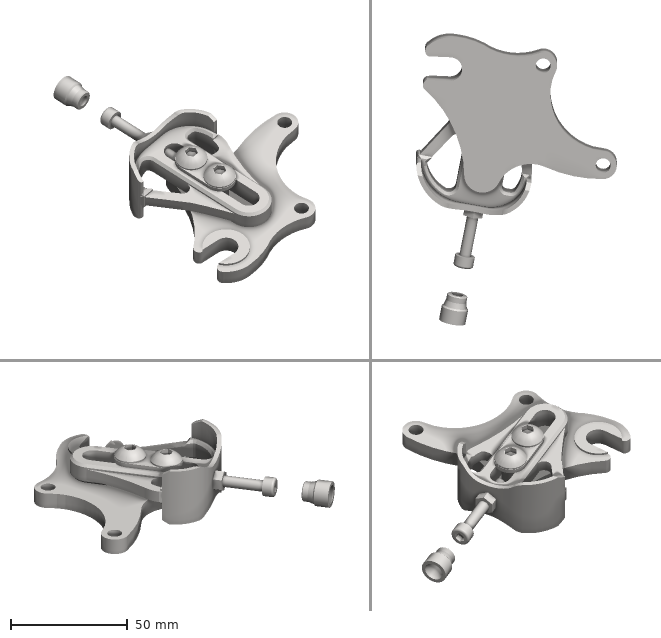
import cadquery as cq
import math


PLATE_T = 7.0
SLIDER_T = 9.0
SLIDER_TOP = PLATE_T + SLIDER_T
AXIS_Z = PLATE_T + SLIDER_T / 2
BOLT_X = (73.1, 89.1)
SHANK_D = 8.0
SCREW_D = 5.0
WASHER_T = 1.9
WASHER_W = 14.0

SLEEVE_L = 12.1
SLEEVE_D = 11.5
SLEEVE_BODY_L = 6.2
SLEEVE_STEP = 0.6
SLEEVE_TAPER_L = 3.0
SLEEVE_TIP_D = 8.8
SLEEVE_TIP_CHAMFER = 0.4
SLEEVE_BORE_D = 8.3
SCREW_HEAD_X = 24.7
SCREW_HEAD_D = 8.5
SCREW_HEAD_L = 5.0
SCREW_HEAD_ROUND = 1.0
SCREW_L = 35.0
SCREW_TIP_CHAMFER = 0.9
SCREW_HEX = 4.0
SCREW_HEX_DEPTH = 2.5
NUT_HEX = 8.0
NUT_T = 3.8

HEAD_R = 6.9
HEAD_FLAT_R = 2.8
HEAD_RIM = 0.8
HEAD_H = 4.2
HEAD_DOME_R = 7.9
BOLT_HEX = 5.0
BOLT_HEX_DEPTH = 2.5

WALL_X = 51.4
WALL_H = 27.9
WALL_T = 2.0
WALL_END_X = 69.2
WALL_END_ROUND = 1.3
WALL_END_DROP = 2.9
WALL_END_RUN = 5.1
UPPER_R = 17.4
UPPER_Y = 4.0
LOWER_R = 21.9
LOWER_Y = -7.4
VALLEY_HALF = 11.5
VALLEY_H = 8.3
VALLEY_EDGE_H = 11.7
BACK_SHOULDER = (14.9, 12.8)
FRONT_SHOULDER = (-15.9, 13.7)
TONGUE_W = 19.3
TONGUE_END_X = 115.5
TONGUE_CHAMFER = 1.1
LEDGE_W = 4.2
LEDGE_END_X = 70.6
WEB_T = 5.1
SLOT_W = 9.2
SLOT_X = (59.0, 110.3)
BACK_WINDOW_X = (61.3, 76.3)
BACK_WINDOW_ROUND = 2.3
FRONT_WINDOW_ROUND = 3.2

EAR_HOLE_D = 6.4
BOSS_R = 10.2
BOSS_H = 1.0
AXLE = (112.2, -22.3)
AXLE_SLOT_R = 5.2
AXLE_SLOT_TILT = 8
AXLE_SLOT_L = 19.1
EAR_A = (82.5, 50.1)
EAR_A_R = 5.8
EAR_B = (121.1, 16.7)
EAR_B_R = 6.0


def toward(center, radius, target):
    """Point on a circle in the direction of another point."""
    angle = math.atan2(target[1] - center[1], target[0] - center[0])
    return (center[0] + radius * math.cos(angle), center[1] + radius * math.sin(angle))


def prism(sketch, z_low, z_high):
    """Extrude a closed XY outline between two heights."""
    return sketch.extrude(z_high - z_low).translate((0, 0, z_low))


def hexagon(plane, across_flats, turn, depth):
    """Hexagonal prism on a plane, turned about its axis."""
    corners = across_flats / math.cos(math.pi / 6)
    return plane.transformed(rotate=(0, 0, turn)).polygon(6, corners).extrude(depth)


def axial_plane(x):
    """Plane across the screw axis, looking along +X."""
    return cq.Workplane("YZ", origin=(x, 0, AXIS_Z))


def turned(profile):
    """Revolve an (x, radius) profile about the screw axis."""
    return profile.close().revolve(360, (0, 0, 0), (1, 0, 0))


def axial_profile():
    return cq.Workplane("XZ", origin=(0, 0, AXIS_Z))


def make_sleeve():
    body_r = SLEEVE_D / 2
    tip_r = SLEEVE_TIP_D / 2
    neck_r = body_r - SLEEVE_STEP
    neck_x = SLEEVE_BODY_L + SLEEVE_TAPER_L
    profile = (
        axial_profile()
        .moveTo(0, SLEEVE_BORE_D / 2)
        .lineTo(0, body_r)
        .lineTo(SLEEVE_BODY_L, body_r)
        .lineTo(SLEEVE_BODY_L + SLEEVE_STEP, neck_r)
        .lineTo(neck_x, tip_r)
        .lineTo(SLEEVE_L - SLEEVE_TIP_CHAMFER, tip_r)
        .lineTo(SLEEVE_L, tip_r - SLEEVE_TIP_CHAMFER)
        .lineTo(SLEEVE_L, SCREW_D / 2)
    )
    return turned(profile)


def make_screw():
    head = axial_plane(SCREW_HEAD_X).circle(SCREW_HEAD_D / 2).extrude(SCREW_HEAD_L)
    head = head.faces("<X").edges().fillet(SCREW_HEAD_ROUND)
    shaft = axial_plane(SCREW_HEAD_X + SCREW_HEAD_L).circle(SCREW_D / 2).extrude(SCREW_L)
    shaft = shaft.faces(">X").edges().chamfer(SCREW_TIP_CHAMFER)
    socket = hexagon(axial_plane(SCREW_HEAD_X), SCREW_HEX, 90, SCREW_HEX_DEPTH)
    return head.union(shaft).cut(socket)


def make_nut():
    start = WALL_X - NUT_T
    bore = axial_plane(start).circle(SCREW_D / 2).extrude(NUT_T)
    return hexagon(axial_plane(start), NUT_HEX, 90, NUT_T).cut(bore)


def make_washer():
    spacing = BOLT_X[1] - BOLT_X[0]
    middle = sum(BOLT_X) / 2
    return (
        cq.Workplane("XY", origin=(middle, 0, SLIDER_TOP))
        .slot2D(spacing + WASHER_W, WASHER_W)
        .extrude(WASHER_T)
        .cut(bolt_shanks())
    )


def bolt_shanks():
    height = SLIDER_TOP + WASHER_T
    return (
        cq.Workplane("XY").pushPoints([(x, 0) for x in BOLT_X]).circle(SHANK_D / 2).extrude(height)
    )


def make_bolt(x):
    seat = SLIDER_TOP + WASHER_T
    dome_z = seat + HEAD_H - math.sqrt(HEAD_DOME_R**2 - HEAD_FLAT_R**2)
    mid_r = (HEAD_R + HEAD_FLAT_R) / 2
    dome_mid = (mid_r, dome_z + math.sqrt(HEAD_DOME_R**2 - mid_r**2))
    bolt = (
        cq.Workplane("XZ")
        .lineTo(SHANK_D / 2, 0)
        .lineTo(SHANK_D / 2, seat)
        .lineTo(HEAD_R, seat)
        .lineTo(HEAD_R, seat + HEAD_RIM)
        .threePointArc(dome_mid, (HEAD_FLAT_R, seat + HEAD_H))
        .lineTo(0, seat + HEAD_H)
        .close()
        .revolve(360, (0, 0, 0), (0, 1, 0))
    )
    socket_plane = cq.Workplane("XY", origin=(0, 0, seat + HEAD_H - BOLT_HEX_DEPTH))
    socket = hexagon(socket_plane, BOLT_HEX, 90, BOLT_HEX_DEPTH)
    return bolt.cut(socket).translate((x, 0, 0))


def wall_area(inset, end_x):
    """Outline enclosed by the curved wall, moved inwards by inset and closed at X = end_x."""
    left = WALL_X + inset
    back = (WALL_X + UPPER_R, UPPER_Y)
    front = (WALL_X + LOWER_R, LOWER_Y)
    back_r = UPPER_R - inset
    front_r = LOWER_R - inset
    back_end = (end_x, back[1] + math.sqrt(back_r**2 - (end_x - back[0]) ** 2))
    front_end = (end_x, front[1] - math.sqrt(front_r**2 - (end_x - front[0]) ** 2))
    return (
        cq.Workplane("XY")
        .moveTo(*back_end)
        .threePointArc(toward(back, back_r, (left, back[1] + back_r)), (left, UPPER_Y))
        .lineTo(left, LOWER_Y)
        .threePointArc(toward(front, front_r, (left, front[1] - front_r)), front_end)
        .close()
    )


def half_profile_cut():
    """Material to remove above the wall, in heights above the screw axis."""
    top = WALL_H / 2
    waist = (
        axial_plane(WALL_X - 1.3)
        .moveTo(UPPER_Y + UPPER_R + 1.3, BACK_SHOULDER[1])
        .lineTo(*BACK_SHOULDER)
        .threePointArc((13.0, 12.6), (VALLEY_HALF, VALLEY_EDGE_H))
        .threePointArc((0, VALLEY_H), (-VALLEY_HALF, VALLEY_EDGE_H))
        .threePointArc((-13.4, 13.0), FRONT_SHOULDER)
        .lineTo(FRONT_SHOULDER[0] - WALL_END_RUN, top)
        .lineTo(UPPER_Y + UPPER_R + 1.3, top)
        .close()
        .extrude(WALL_END_X - WALL_X + 2.5)
    )
    reach = LOWER_R * 2
    ends = (
        axial_profile()
        .moveTo(WALL_END_X, top - WALL_END_DROP)
        .lineTo(WALL_END_X, top)
        .lineTo(WALL_END_X - WALL_END_RUN, top)
        .close()
        .extrude(reach, both=True)
    )
    return waist.union(ends)


def make_wall():
    bottom = AXIS_Z - WALL_H / 2
    outer = prism(wall_area(0, WALL_END_X), bottom, bottom + WALL_H)
    inner = prism(wall_area(WALL_T, WALL_END_X), bottom, bottom + WALL_H)
    wall = outer.cut(inner).edges("|Z and >X and <Y").fillet(WALL_END_ROUND)
    upper_cut = half_profile_cut()
    lower_cut = upper_cut.mirror("XY", (0, 0, AXIS_Z))
    return wall.cut(upper_cut).cut(lower_cut)


def make_web():
    """Thin web that joins the wall ends to the tongue."""
    half = TONGUE_W / 2
    tongue_center = TONGUE_END_X - half
    area = (
        cq.Workplane("XY")
        .moveTo(WALL_X + UPPER_R, UPPER_Y + UPPER_R - WALL_T / 2)
        .lineTo(70.6, 21.2)
        .threePointArc((74.1, 20.7), (77.6, 19.2))
        .threePointArc((90.9, 13.5), (tongue_center, half))
        .lineTo(tongue_center, -half)
        .threePointArc((96.6, -13.1), (87.7, -16.9))
        .lineTo(68.9, -28.4)
        .lineTo(WALL_END_X - WALL_T, -26.7)
        .lineTo(WALL_X + LEDGE_W, 0)
        .close()
    )
    return prism(area, AXIS_Z - WEB_T / 2, AXIS_Z + WEB_T / 2)


def make_windows():
    """Openings between the tongue and the wall, one on each side."""
    half = TONGUE_W / 2
    left, right = BACK_WINDOW_X
    back_blank = prism(
        cq.Workplane("XY").moveTo(left, half).lineTo(left, 25.4).lineTo(right, 25.4).lineTo(right, half).close(),
        PLATE_T, SLIDER_TOP,
    )
    rim = prism(
        cq.Workplane("XY").moveTo(WALL_X + UPPER_R, UPPER_Y).circle(UPPER_R - LEDGE_W), PLATE_T, SLIDER_TOP
    )
    back = back_blank.intersect(rim).edges("|Z").fillet(BACK_WINDOW_ROUND)
    inner_r = LOWER_R - LEDGE_W
    center = (WALL_X + LOWER_R, LOWER_Y)
    corner_x = center[0] - math.sqrt(inner_r**2 - (half + LOWER_Y) ** 2)
    front_area = (
        cq.Workplane("XY")
        .moveTo(corner_x, -half)
        .threePointArc(toward(center, inner_r, (58.2, -17.2)), toward(center, inner_r, (66.5, -23.8)))
        .lineTo(67.8, -23.8)
        .lineTo(90.3, -half)
        .close()
    )
    front = prism(front_area, PLATE_T, SLIDER_TOP)
    front = front.edges("|Z and (>X or <X)").fillet(FRONT_WINDOW_ROUND)
    return back.union(front)


def make_pad(windows):
    """Full-height tongue with the ledge that follows the inside of the wall."""
    half = TONGUE_W / 2
    center = TONGUE_END_X - half
    tongue = prism(
        cq.Workplane("XY")
        .moveTo(center, half)
        .threePointArc((TONGUE_END_X, 0), (center, -half))
        .lineTo(WALL_X + LEDGE_W, -half)
        .lineTo(WALL_X + LEDGE_W, half)
        .close(),
        PLATE_T, SLIDER_TOP,
    )
    ledge = prism(wall_area(WALL_T / 2, LEDGE_END_X), PLATE_T, SLIDER_TOP)
    pad = tongue.union(ledge).cut(windows)
    return pad.faces("<Z or >Z").edges().chamfer(TONGUE_CHAMFER)


def make_slider():
    windows = make_windows()
    slot = prism(
        cq.Workplane("XY").moveTo(sum(SLOT_X) / 2, 0).slot2D(SLOT_X[1] - SLOT_X[0], SLOT_W),
        PLATE_T, SLIDER_TOP,
    )
    screw_hole = axial_plane(WALL_X).circle(SCREW_D / 2).extrude(SLOT_X[0] + SLOT_W / 2 - WALL_X)
    body = make_wall().union(make_web().cut(windows)).union(make_pad(windows))
    return body.cut(slot).cut(screw_hole)


def make_plate():
    nose = (68.7, 0)
    nose_r = 7.6
    notch = (62.5, 22.3)
    notch_r = 15.3
    belly = (54.2, -61.3)
    belly_r = 56.0
    toe_a = (103.8, -30.1)
    toe_a_r = 2.2
    toe_b = (118.3, -31.8)
    toe_b_r = 2.4
    flank_r = 14.0
    waist = (147.9, 0.6)
    waist_r = 25.4
    outline = (
        cq.Workplane("XY")
        .moveTo(EAR_A[0] + EAR_A_R, EAR_A[1])
        .threePointArc((EAR_A[0], EAR_A[1] + EAR_A_R), (EAR_A[0] - EAR_A_R, 51.2))
        .threePointArc((75.5, 39.4), toward(notch, notch_r, (77.2, 26.0)))
        .threePointArc(toward(notch, notch_r, (75.8, 14.8)), toward(notch, notch_r, nose))
        .threePointArc((nose[0] - nose_r, 0), toward(nose, nose_r, belly))
        .threePointArc(toward(belly, belly_r, (90.5, -19.1)), toward(belly, belly_r, (101.6, -31.4)))
        .threePointArc((toe_a[0], toe_a[1] - toe_a_r), (toe_a[0] + toe_a_r, toe_a[1]))
        .lineTo(*AXLE)
        .lineTo(toe_b[0] - toe_b_r, toe_b[1])
        .threePointArc((toe_b[0], toe_b[1] - toe_b_r), toward(AXLE, flank_r, (120.8, -33.3)))
        .threePointArc(toward(AXLE, flank_r, (124.4, -29.1)), (AXLE[0] + flank_r, AXLE[1]))
        .threePointArc((125.8, -14.5), toward(waist, waist_r, (124.6, -9.7)))
        .threePointArc((waist[0] - waist_r, waist[1]), toward(waist, waist_r, EAR_B))
        .threePointArc(toward(EAR_B, EAR_B_R, (125.9, 21.0)), toward(EAR_B, EAR_B_R, (119.7, 22.9)))
        .lineTo(115.7, 21.68)
        .lineTo(111.9, 21.68)
        .threePointArc((96.0, 29.0), (88.4, 44.5))
        .close()
    )
    plate = prism(outline, 0, PLATE_T)
    boss = prism(cq.Workplane("XY").moveTo(*AXLE).circle(BOSS_R), 0, PLATE_T + BOSS_H)
    slot = (
        cq.Workplane("XY", origin=(*AXLE, 0))
        .transformed(rotate=(0, 0, -AXLE_SLOT_TILT))
        .moveTo(AXLE_SLOT_R, 0)
        .threePointArc((0, AXLE_SLOT_R), (-AXLE_SLOT_R, 0))
        .lineTo(-AXLE_SLOT_R, -AXLE_SLOT_L)
        .lineTo(AXLE_SLOT_R, -AXLE_SLOT_L)
        .close()
        .extrude(PLATE_T + BOSS_H)
    )
    holes = cq.Workplane("XY").pushPoints([EAR_A, EAR_B]).circle(EAR_HOLE_D / 2).extrude(PLATE_T)
    return plate.union(boss).cut(slot).cut(holes).cut(bolt_shanks())


sleeve = make_sleeve()
screw = make_screw()
nut = make_nut()
slider = make_slider()
plate = make_plate()
washer = make_washer()
bolts = [make_bolt(x) for x in BOLT_X]

result = cq.Compound.makeCompound(
    [body.val() for body in (sleeve, screw, nut, slider, plate, washer, *bolts)]
)